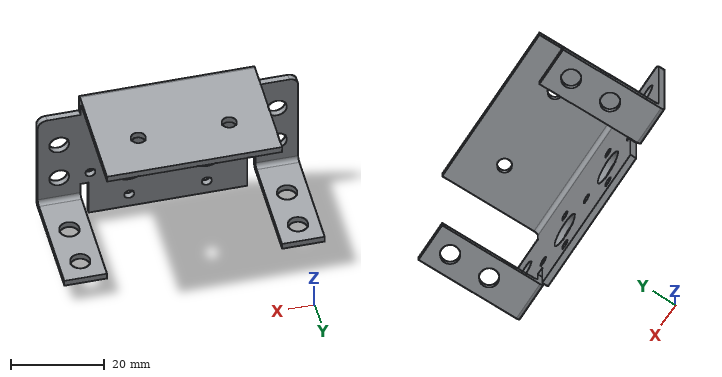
import cadquery as cq

width = 57.15
depth = 25.7
height = 34.75

sheet = 1.5
bend_outer = 1.0
bend_inner = 1.05

top_width = 38.4
wing_top = 29.9
wing_corner = 2.0
foot_bottom = 4.05
tab_width = 34.85
notch_top = 9.05

motor_z = 12.0
motor_spacing = 17.05
shaft_diameter = 8.0
screw_diameter = 2.2

wing_hole_diameter = 4.35
wing_hole_x = 23.9
wing_hole_pitch = 9.9
foot_hole_y = 10.8
top_hole_diameter = 3.2
top_hole_spacing = 19.95
top_hole_y = 15.85


def box(x_min, x_max, y_min, y_max, z_min, z_max):
    """Axis-aligned block between the given limits."""
    block = cq.Workplane("XY").box(x_max - x_min, y_max - y_min, z_max - z_min, centered=False)
    return block.translate((x_min, y_min, z_min))


def front_holes(points, diameter):
    """Cutters along Y through the front plate; points are (x, z)."""
    return cq.Workplane("XZ").pushPoints(points).circle(diameter / 2).extrude(-sheet)


def flange_holes(points, diameter, bottom):
    """Cutters along Z through a flange whose underside is at the given height."""
    plane = cq.Workplane("XY").workplane(offset=bottom)
    return plane.pushPoints(points).circle(diameter / 2).extrude(sheet)


def channel():
    """C-shaped bent sheet over the full width: top flange, front plate and foot flange."""
    outer = box(-width / 2, width / 2, 0, depth, foot_bottom, height)
    outer = outer.edges("|X and <Y").fillet(bend_outer)
    inner = box(-width / 2, width / 2, sheet, depth, foot_bottom + sheet, height - sheet)
    inner = inner.edges("|X and <Y").fillet(bend_inner)
    return outer.cut(inner)


def trim_sides(body):
    """Narrow the top flange, round the wing corners and open the middle of the foot."""
    for x_min, x_max in ((-width / 2, -top_width / 2), (top_width / 2, width / 2)):
        body = body.cut(box(x_min, x_max, 0, depth, wing_top, height))
    corners = cq.selectors.BoxSelector(
        (-width, -sheet, wing_top - sheet), (width, 2 * sheet, wing_top + sheet)
    )
    body = body.edges("|Y and (<X or >X)").edges(corners).fillet(wing_corner)
    return body.cut(box(-top_width / 2, top_width / 2, 0, depth, foot_bottom, notch_top))


def add_tab(body):
    """Extend the front plate straight down between the two feet."""
    return body.union(box(-tab_width / 2, tab_width / 2, 0, sheet, 0, notch_top))


def drill(body):
    """Cut the motor, wing, foot and top holes."""
    half = motor_spacing / 2
    shafts = [(-half, motor_z), (half, motor_z)]
    screws = [(x, motor_z) for x in (-motor_spacing, 0, motor_spacing)]
    screws += [(x, motor_z + dz) for x in (-half, half) for dz in (-half, half)]
    sides = (-wing_hole_x, wing_hole_x)
    wing_points = [(x, motor_z + dz) for x in sides for dz in (0, wing_hole_pitch)]
    foot_points = [(x, foot_hole_y + dy) for x in sides for dy in (0, wing_hole_pitch)]
    top_points = [(x, top_hole_y) for x in (-top_hole_spacing / 2, top_hole_spacing / 2)]

    body = body.cut(front_holes(shafts, shaft_diameter))
    body = body.cut(front_holes(screws, screw_diameter))
    body = body.cut(front_holes(wing_points, wing_hole_diameter))
    body = body.cut(flange_holes(foot_points, wing_hole_diameter, foot_bottom))
    return body.cut(flange_holes(top_points, top_hole_diameter, height - sheet))


result = drill(add_tab(trim_sides(channel())))